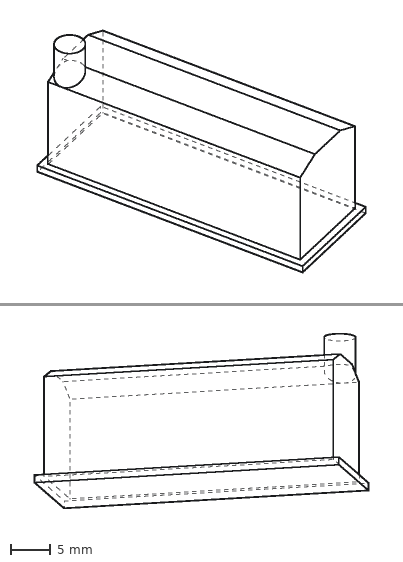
import cadquery as cq

base_length = 40
base_width = 15.0
base_thickness = 1.0
base_margin = 1.0

body_length = base_length - 2 * base_margin
body_width = base_width - 2 * base_margin
wall_height = 13.0
roof_rise = 1.5
roof_flat_width = 6
eaves_z = base_thickness + wall_height
roof_z = eaves_z + roof_rise

chimney_diameter = 4
chimney_above_roof = 4
chimney_x = -body_length / 2 + chimney_diameter / 2
chimney_y = -body_width / 2 + chimney_diameter / 2


def make_base():
    return cq.Workplane("XY").box(
        base_length, base_width, base_thickness, centered=(True, True, False)
    )


def make_body():
    half_width = body_width / 2
    half_flat = roof_flat_width / 2
    cross_section = [
        (-half_width, base_thickness),
        (half_width, base_thickness),
        (half_width, eaves_z),
        (half_flat, roof_z),
        (-half_flat, roof_z),
        (-half_width, eaves_z),
    ]
    return (
        cq.Workplane("YZ")
        .polyline(cross_section)
        .close()
        .extrude(body_length / 2, both=True)
    )


def make_chimney():
    return (
        cq.Workplane("XY", origin=(chimney_x, chimney_y, eaves_z))
        .circle(chimney_diameter / 2)
        .extrude(roof_rise + chimney_above_roof)
    )


result = make_base().union(make_body()).union(make_chimney())